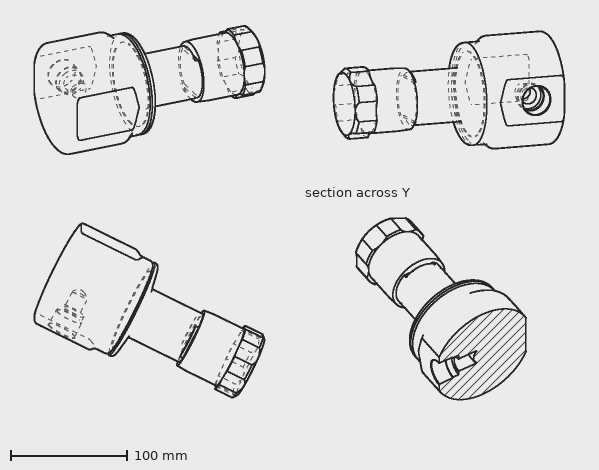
import cadquery as cq
import math


head_radius = 97.79 / 2
flat_half_width = 88.9 / 2
head_front_fillet = 3.05
shoulder_start = 52.95
shoulder_fillet = 3.175

flange_radius = 88.9 / 2
groove_front = 70.2
groove_width = 1.0
groove_radius = 37.0
flange_corner = 74.6
flange_slope = 11.3
flange_fillet = 3.0

shank_radius = 23.2
shank_fillet = 2.0
shank_flat_height = 17.7
shank_flat_width = 2.8

total_length = 185.57
nut_start = 128.2
nut_barrel_start = 139.4
nut_ring_start = 166.1
nut_barrel_radius = 27.2
nut_tail_radius = 26.5
nut_ring_radius = 30.55
nut_chamfer_length = 2.8
lobe_count = 6
lobe_half_angle = 13.7
first_notch_angle = 27.3
notch_floor_radius = 27.1

port_y = 25.8
port_mouth_radius = 13.1
port_mouth_chamfer = 0.5
port_thread_end_radius = 12.2
port_thread_depth = 14.3
port_bore_radius = 11.5
port_depth = 20.0
port_passage_radius = 7.2
core_radius = 9.5


def fillet_ring(body, ring_radius, ring_y, fillet_radius):
    """Round the circular edge of the given radius at the given Y."""

    def is_ring(edge):
        same_radius = math.isclose(edge.radius(), ring_radius, abs_tol=1e-4)
        return same_radius and math.isclose(edge.Center().y, ring_y, abs_tol=1e-4)

    return body.edges("%CIRCLE").filter(is_ring).fillet(fillet_radius)


def make_turned_body():
    """Head, grooved flange and shank, before the flats are cut."""
    shoulder_end = shoulder_start + head_radius - flange_radius
    groove_back = groove_front + groove_width
    cone_rise = (flange_radius - shank_radius) * math.tan(math.radians(flange_slope))
    cone_end = flange_corner + cone_rise
    profile = [
        (0, 0),
        (head_radius, 0),
        (head_radius, shoulder_start),
        (flange_radius, shoulder_end),
        (flange_radius, groove_front),
        (groove_radius, groove_front),
        (groove_radius, groove_back),
        (flange_radius, groove_back),
        (flange_radius, flange_corner),
        (shank_radius, cone_end),
        (shank_radius, nut_start),
        (0, nut_start),
    ]
    body = cq.Workplane("XY").polyline(profile).close().revolve(360, (0, 0, 0), (0, 1, 0))
    body = fillet_ring(body, head_radius, 0, head_front_fillet)
    body = fillet_ring(body, head_radius, shoulder_start, shoulder_fillet)
    body = fillet_ring(body, flange_radius, shoulder_end, shoulder_fillet)
    body = fillet_ring(body, flange_radius, groove_front, flange_fillet)
    body = fillet_ring(body, flange_radius, flange_corner, flange_fillet)
    return fillet_ring(body, shank_radius, cone_end, shank_fillet)


def cut_head_flats(body):
    """Trim the head to the distance across its two X flats."""
    depth = head_radius - flat_half_width
    length = groove_front - flange_fillet
    for side in (1, -1):
        cutter = cq.Workplane("XY").box(depth, length, 2 * head_radius)
        body = body.cut(cutter.translate((side * (flat_half_width + depth / 2), length / 2, 0)))
    return body


def cut_shank_flats(body):
    """Cut a wrench flat above and below the shank, next to the nut."""
    depth = shank_radius - shank_flat_height
    for side in (1, -1):
        cutter = cq.Workplane("XY").box(2 * shank_radius, shank_flat_width, depth)
        middle_y = nut_start - shank_flat_width / 2
        middle_z = side * (shank_flat_height + depth / 2)
        body = body.cut(cutter.translate((0, middle_y, middle_z)))
    return body


def make_nut():
    """Nut barrel with a bulged tail and a chamfered, notched ring."""
    tail_middle = (nut_start + nut_barrel_start) / 2
    tail_middle_radius = nut_barrel_radius - (nut_barrel_radius - nut_tail_radius) / 4
    nut = (
        cq.Workplane("XY")
        .moveTo(0, nut_start)
        .lineTo(nut_tail_radius, nut_start)
        .threePointArc((tail_middle_radius, tail_middle), (nut_barrel_radius, nut_barrel_start))
        .lineTo(nut_barrel_radius, nut_ring_start)
        .lineTo(nut_ring_radius, nut_ring_start)
        .lineTo(nut_ring_radius, total_length - nut_chamfer_length)
        .lineTo(notch_floor_radius, total_length)
        .lineTo(0, total_length)
        .close()
        .revolve(360, (0, 0, 0), (0, 1, 0))
    )
    notch_half_angle = math.radians(180 / lobe_count - lobe_half_angle)
    half_chord = nut_ring_radius * math.sin(notch_half_angle)
    sag = nut_ring_radius * math.cos(notch_half_angle) - notch_floor_radius
    notch_radius = (half_chord**2 + sag**2) / (2 * sag)
    notch_centre = notch_floor_radius + notch_radius
    notch = (
        cq.Workplane("XZ", origin=(0, nut_ring_start, 0))
        .center(0, notch_centre)
        .circle(notch_radius)
        .extrude(nut_ring_start - total_length)
    )
    for index in range(lobe_count):
        angle = first_notch_angle + index * 360 / lobe_count
        nut = nut.cut(notch.rotate((0, 0, 0), (0, 1, 0), angle))
    return nut


def make_port_cutter():
    """Chamfered, tapered and stepped port whose passage ends on a round core along Y."""
    thread_radius = port_mouth_radius - port_mouth_chamfer
    port_profile = [
        (-flat_half_width, 0),
        (-flat_half_width, port_mouth_radius),
        (-flat_half_width + port_mouth_chamfer, thread_radius),
        (-flat_half_width + port_thread_depth, port_thread_end_radius),
        (-flat_half_width + port_thread_depth, port_bore_radius),
        (-flat_half_width + port_depth, port_bore_radius),
        (-flat_half_width + port_depth, port_passage_radius),
        (0, port_passage_radius),
        (0, 0),
    ]
    port = cq.Workplane("XY").polyline(port_profile).close().revolve(360, (0, 0, 0), (1, 0, 0))
    core = cq.Workplane("XZ").circle(core_radius).extrude(2 * port_passage_radius, both=True)
    return port.cut(core).translate((0, port_y, 0))


body = cut_head_flats(make_turned_body())
body = cut_shank_flats(body)
result = body.union(make_nut()).cut(make_port_cutter())